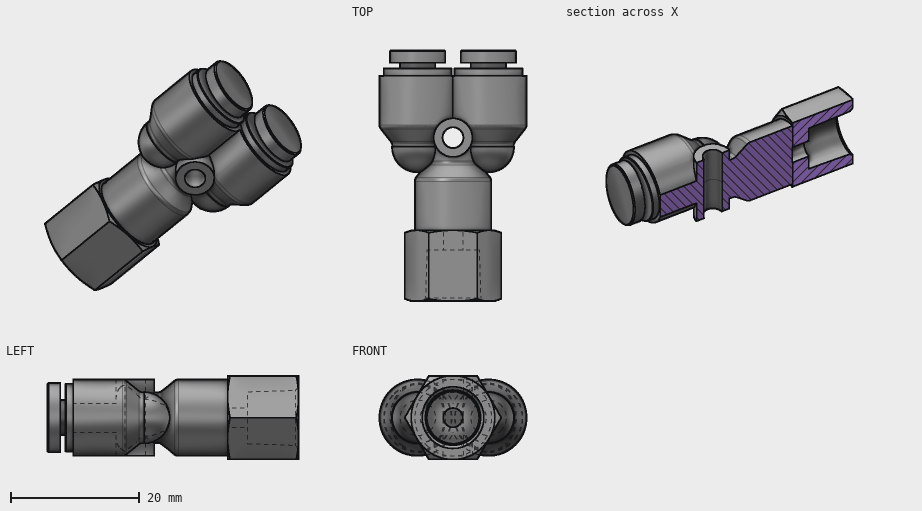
import cadquery as cq
import math


NUT_LENGTH = 11.0
NUT_ACROSS_FLATS = 13.0
NUT_CHAMFER_ANGLE = 20.0
BORE_MOUTH_DIAMETER = 8.6
BORE_DEPTH = 8.0
BORE_TAPER = 1 / 16
MOUTH_CHAMFER_DIAMETER = 9.6
PASSAGE_DIAMETER = 3.0

BARREL_DIAMETER = 11.9
NECK_DIAMETER = 7.9
PORT_SPACING = 11.0
SHOULDER_LENGTH = 2.5
SHOULDER_BLEND = 1.0
STEM_SHOULDER_Y = 19.0
PORT_END_Y = 35.0
PORT_SHOULDER_Y = 27.05
BALL_RADIUS = 4.0
BALL_Y = 24.0

BOSS_DIAMETER = 6.0
BOSS_HOLE_DIAMETER = 3.2
BOSS_Y = 25.4

RING_DIAMETER = 10.6
RING_LENGTH = 1.2
RING_CHAMFER = 0.1
BUTTON_NECK_DIAMETER = 5.5
BUTTON_NECK_LENGTH = 0.8
BUTTON_WIDTH = 8.6
BUTTON_HEIGHT = 10.8
BUTTON_HEAD_LENGTH = 2.0
BUTTON_CHAMFER = 0.2

BARREL_RADIUS = BARREL_DIAMETER / 2
NECK_RADIUS = NECK_DIAMETER / 2
PORT_XS = (-PORT_SPACING / 2, PORT_SPACING / 2)


def plane_at(y, x=0.0):
    """Plane facing +Y whose local x is global X and whose local y is global -Z."""
    return cq.Workplane(cq.Plane(origin=(x, y, 0), xDir=(1, 0, 0), normal=(0, 1, 0)))


def revolve_about_y(profile):
    return profile.close().revolve(360, (0, 0, 0), (0, 1, 0))


def make_nut():
    corner_radius = NUT_ACROSS_FLATS / math.sqrt(3)
    face_radius = NUT_ACROSS_FLATS / 2
    corner_drop = (corner_radius - face_radius) * math.tan(math.radians(NUT_CHAMFER_ANGLE))
    hexagon = plane_at(0).polygon(6, 2 * corner_radius).extrude(NUT_LENGTH)
    envelope = revolve_about_y(
        cq.Workplane("XY")
        .lineTo(face_radius, 0)
        .lineTo(corner_radius, corner_drop)
        .lineTo(corner_radius, NUT_LENGTH - corner_drop)
        .lineTo(face_radius, NUT_LENGTH)
        .lineTo(0, NUT_LENGTH)
    )
    mouth_radius = MOUTH_CHAMFER_DIAMETER / 2
    bore_radius = BORE_MOUTH_DIAMETER / 2
    floor_radius = bore_radius - BORE_DEPTH * BORE_TAPER / 2
    passage_radius = PASSAGE_DIAMETER / 2
    bore = revolve_about_y(
        cq.Workplane("XY")
        .lineTo(mouth_radius, 0)
        .lineTo(bore_radius, mouth_radius - bore_radius)
        .lineTo(floor_radius, BORE_DEPTH)
        .lineTo(passage_radius, BORE_DEPTH)
        .lineTo(passage_radius, NUT_LENGTH)
        .lineTo(0, NUT_LENGTH)
    )
    return hexagon.intersect(envelope).cut(bore)


def make_barrel(base_y, shoulder_y, neck_end_y):
    """Barrel along Y that narrows to the neck over a conical shoulder with blended edges."""
    direction = math.copysign(1, neck_end_y - base_y)
    slope = math.atan2(BARREL_RADIUS - NECK_RADIUS, SHOULDER_LENGTH)
    tangent = SHOULDER_BLEND * math.tan(slope / 2)
    along = tangent * math.cos(slope)
    inward = tangent * math.sin(slope)
    neck_y = shoulder_y + direction * SHOULDER_LENGTH
    return revolve_about_y(
        cq.Workplane("XY")
        .moveTo(0, base_y)
        .lineTo(BARREL_RADIUS, base_y)
        .lineTo(BARREL_RADIUS, shoulder_y - direction * tangent)
        .radiusArc((BARREL_RADIUS - inward, shoulder_y + direction * along), -direction * SHOULDER_BLEND)
        .lineTo(NECK_RADIUS + inward, neck_y - direction * along)
        .radiusArc((NECK_RADIUS, neck_y + direction * tangent), direction * SHOULDER_BLEND)
        .lineTo(NECK_RADIUS, neck_end_y)
        .lineTo(0, neck_end_y)
    )


def make_half_ball():
    """Rounded end of a port neck, bulging towards the nut."""
    return revolve_about_y(
        cq.Workplane("XY")
        .moveTo(0, BALL_Y - BALL_RADIUS)
        .radiusArc((BALL_RADIUS, BALL_Y), -BALL_RADIUS)
        .lineTo(0, BALL_Y)
    )


def make_body():
    body = make_barrel(NUT_LENGTH, STEM_SHOULDER_Y, BOSS_Y)
    barrel = make_barrel(PORT_END_Y, PORT_SHOULDER_Y, BALL_Y)
    half_ball = make_half_ball()
    for x in PORT_XS:
        body = body.union(barrel.translate((x, 0, 0))).union(half_ball.translate((x, 0, 0)))
    boss_plane = cq.Workplane("XY").center(0, BOSS_Y)
    boss = boss_plane.circle(BOSS_DIAMETER / 2).extrude(BARREL_RADIUS, both=True)
    boss_hole = boss_plane.circle(BOSS_HOLE_DIAMETER / 2).extrude(BARREL_RADIUS, both=True)
    return body.union(boss).cut(boss_hole)


def make_guide_ring(x):
    ring = plane_at(PORT_END_Y, x).circle(RING_DIAMETER / 2).extrude(RING_LENGTH)
    return ring.faces(">Y").chamfer(RING_CHAMFER)


def make_release_button(x):
    neck_y = PORT_END_Y + RING_LENGTH
    head_y = neck_y + BUTTON_NECK_LENGTH
    neck = plane_at(neck_y, x).circle(BUTTON_NECK_DIAMETER / 2).extrude(BUTTON_NECK_LENGTH)
    head = plane_at(head_y, x).ellipse(BUTTON_WIDTH / 2, BUTTON_HEIGHT / 2).extrude(BUTTON_HEAD_LENGTH)
    return neck.union(head.faces(">Y").chamfer(BUTTON_CHAMFER))


nut = make_nut()
body = make_body()
guide_rings = [make_guide_ring(x).val() for x in PORT_XS]
release_buttons = [make_release_button(x).val() for x in PORT_XS]

result = cq.Compound.makeCompound([nut.val(), body.val(), *guide_rings, *release_buttons])